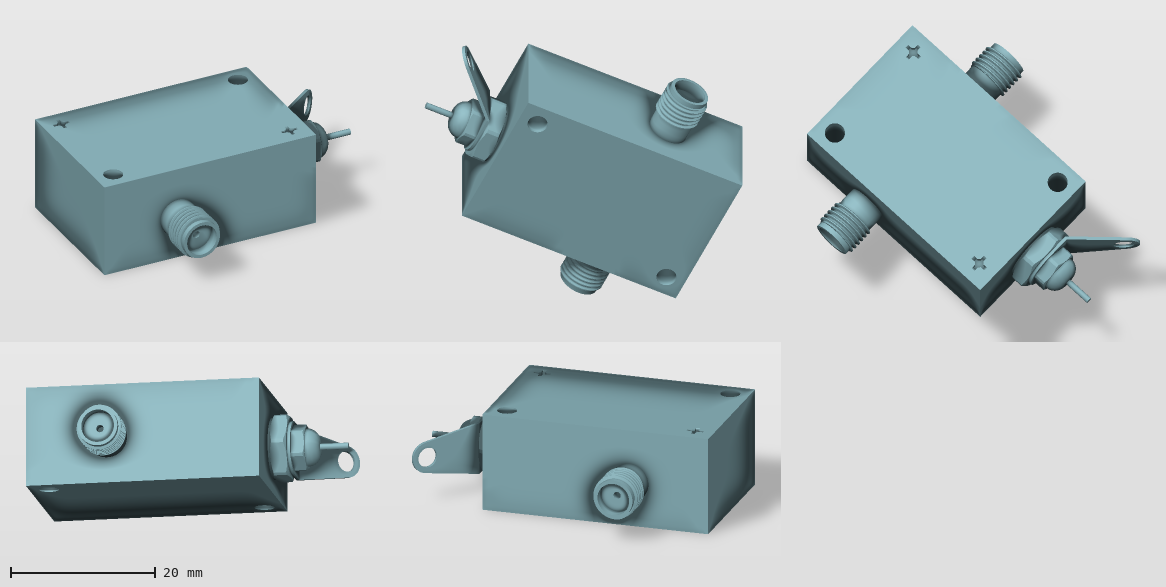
import cadquery as cq
import math

body_x = 21.32
body_y = 32.75
body_z = 13.95
lid_height = 2.45
base_height = body_z - lid_height
back_y = body_y / 2

corner_inset = 2.75
mount_x = body_x / 2 - corner_inset
mount_y = back_y - corner_inset
mount_hole_radius = 1.4
screw_head_radius = 1.95
screw_head_depth = 0.85

recess_depth = 0.65
recess_arm_width = 0.5
recess_reach_top = 1.2
recess_reach_floor = 0.82
recess_core_reach = 0.82

axis_z = 6.33
connector_y = -4.95
connector_length = 7.25
barrel_radius = 2.77
bore_radius = 2.3
bore_depth = 1.75
contact_hole_radius = 0.5
contact_hole_depth = 1.3

thread_radius = 3.15
thread_pitch = 0.7
thread_start = 0.75
thread_end = 4.5
thread_root_width = 0.5
thread_crest_width = 0.15
thread_root_depth = 0.1
helix_turns = 7

terminal_x = -0.05
collar_radius = 4.3
collar_length = 0.25
nut_across_flats = 8.6
nut_corner_radius = 4.8
nut_length = 2.35
lug_thickness = 0.45
lug_radius = 3.73
hub_across_flats = 5.85
hub_corner_radius = 3.25
hub_length = 1.8
dome_radius = 2.65
dome_height = 1.78
pin_radius = 0.45
overall_length = 43.35
pin_length = overall_length - body_y
chamfer_angle = math.radians(30)

tab_angle = 45
tab_hole_distance = 8.05
tab_hole_radius = 1.45
tab_end_radius = 2.25

nut_y = collar_length
lug_y = nut_y + nut_length
hub_y = lug_y + lug_thickness
dome_y = hub_y + hub_length


def mirrored_pair(x, y):
    """Two points placed symmetrically about the middle of the lid."""
    return [(x, y), (-x, -y)]


def make_housing():
    base = cq.Workplane("XY").box(body_x, body_y, base_height, centered=(True, True, False))
    lid = (
        cq.Workplane("XY", origin=(0, 0, base_height))
        .box(body_x, body_y, lid_height, centered=(True, True, False))
    )
    housing = base.union(lid, clean=False)
    mount_holes = (
        cq.Workplane("XY")
        .pushPoints(mirrored_pair(-mount_x, mount_y))
        .circle(mount_hole_radius)
        .extrude(body_z)
    )
    return housing.cut(mount_holes, clean=False)


def make_screw_head():
    """Flush screw head with its top at Z = 0 and a Phillips recess."""
    head = cq.Workplane("XY").circle(screw_head_radius).extrude(-screw_head_depth)
    arm = (
        cq.Workplane("XZ")
        .moveTo(-recess_reach_top, 0)
        .lineTo(recess_reach_top, 0)
        .lineTo(recess_reach_floor, -recess_depth)
        .lineTo(-recess_reach_floor, -recess_depth)
        .close()
        .extrude(recess_arm_width / 2, both=True)
    )
    core = cq.Workplane("XY").polygon(4, 2 * recess_core_reach).extrude(-recess_depth)
    cross_arm = arm.rotate((0, 0, 0), (0, 0, 1), 90)
    return head.cut(arm.union(cross_arm).union(core))


def make_thread():
    """Right-hand thread along +X, clipped square at both ends."""
    crest = thread_crest_width / 2
    root = thread_root_width / 2
    root_radius = barrel_radius - thread_root_depth
    helix = cq.Wire.makeHelix(thread_pitch, helix_turns * thread_pitch, barrel_radius)
    ridge = (
        cq.Workplane("XZ")
        .moveTo(root_radius, -root)
        .lineTo(thread_radius, -crest)
        .lineTo(thread_radius, crest)
        .lineTo(root_radius, root)
        .close()
        .sweep(cq.Workplane(helix), isFrenet=True)
        .rotate((0, 0, 0), (0, 1, 0), 90)
    )
    clip = (
        cq.Workplane("YZ", origin=(thread_start, 0, 0))
        .circle(2 * thread_radius)
        .extrude(thread_end - thread_start)
    )
    return ridge.intersect(clip)


def make_connector():
    """Connector with its open end at X = 0, running along +X."""
    barrel = cq.Workplane("YZ").circle(barrel_radius).extrude(connector_length)
    bore = cq.Workplane("YZ").circle(bore_radius).extrude(bore_depth)
    contact_hole = (
        cq.Workplane("YZ").circle(contact_hole_radius).extrude(bore_depth + contact_hole_depth)
    )
    return barrel.union(make_thread()).cut(bore).cut(contact_hole)


def cylinder_y(radius, start, length):
    """Cylinder on the terminal axis, starting at the given Y."""
    return cq.Workplane("XZ", origin=(0, start, 0)).circle(radius).extrude(-length)


def make_hexagon(across_flats, corner_radius, start, length, turn, chamfered_ends):
    """Hexagon with trimmed corners and conical chamfers; turn 0 points corners along X."""
    sharp_diameter = across_flats / math.cos(math.radians(30))
    chamfer_width = corner_radius - across_flats / 2
    prism = (
        cq.Workplane("XZ", origin=(0, start, 0))
        .polygon(6, sharp_diameter)
        .extrude(-length)
        .rotate((0, 0, 0), (0, 1, 0), turn)
    )
    envelope = (
        cylinder_y(corner_radius, start, length)
        .faces(chamfered_ends)
        .chamfer(chamfer_width * math.tan(chamfer_angle), chamfer_width)
    )
    return prism.intersect(envelope)


def make_nut():
    """Hexagon nut chamfered on both ends."""
    return make_hexagon(nut_across_flats, nut_corner_radius, nut_y, nut_length, 0, "<Y or >Y")


def make_lug():
    """Flat washer with a straight left side and a tapered tab bent outwards."""
    washer = cylinder_y(lug_radius, lug_y, lug_thickness)
    shoulder = (
        cq.Workplane("XY")
        .box(lug_radius, lug_thickness, 2 * lug_radius, centered=(False, False, True))
        .translate((-lug_radius, lug_y, 0))
    )

    corner_distance = math.hypot(tab_hole_distance, lug_radius)
    corner_angle = math.atan2(lug_radius, tab_hole_distance)
    tangent_angle = corner_angle + math.acos(tab_end_radius / corner_distance)
    tangent_x = -tab_hole_distance + tab_end_radius * math.cos(tangent_angle)
    tangent_z = tab_end_radius * math.sin(tangent_angle)
    tab = (
        cq.Workplane("XZ")
        .moveTo(0, -lug_radius)
        .lineTo(tangent_x, -tangent_z)
        .threePointArc((-tab_hole_distance - tab_end_radius, 0), (tangent_x, tangent_z))
        .lineTo(0, lug_radius)
        .close()
        .extrude(-lug_thickness)
    )
    tab_hole = (
        cq.Workplane("XZ")
        .center(-tab_hole_distance, 0)
        .circle(tab_hole_radius)
        .extrude(-lug_thickness)
    )
    bent_tab = (
        tab.cut(tab_hole)
        .rotate((0, 0, 0), (0, 0, 1), -tab_angle)
        .translate((-lug_radius, lug_y, 0))
    )
    return washer.union(shoulder).union(bent_tab)


def make_hub():
    """Hexagonal hub chamfered on its outer end, topped by a dome with a flat crown."""
    hub = make_hexagon(hub_across_flats, hub_corner_radius, hub_y, hub_length, 30, ">Y")
    arc_centre_x = dome_radius - dome_height
    dome_top = dome_y + dome_height
    arc_offset = dome_height * math.sqrt(0.5)
    dome = (
        cq.Workplane("XY")
        .moveTo(0, dome_y)
        .lineTo(dome_radius, dome_y)
        .threePointArc((arc_centre_x + arc_offset, dome_y + arc_offset), (arc_centre_x, dome_top))
        .lineTo(0, dome_top)
        .close()
        .revolve(360, (0, 0, 0), (0, 1, 0))
    )
    return hub.union(dome)


def make_terminal():
    """Feed-through terminal with its seat at Y = 0, running along +Y."""
    collar = cylinder_y(collar_radius, 0, collar_length)
    pin = cylinder_y(pin_radius, 0, pin_length)
    return collar.union(make_nut()).union(make_lug()).union(make_hub()).union(pin)


part = make_housing()

screw_head = make_screw_head()
for x, y in mirrored_pair(mount_x, mount_y):
    seat = (
        cq.Workplane("XY", origin=(x, y, body_z)).circle(screw_head_radius).extrude(-screw_head_depth)
    )
    part = part.cut(seat, clean=False)
    part = part.union(screw_head.translate((x, y, body_z)), clean=False)

left_connector = make_connector().translate((-body_x / 2 - connector_length, connector_y, axis_z))
right_connector = left_connector.rotate((0, 0, axis_z), (0, 1, axis_z), 180)
part = part.union(left_connector, clean=False)
part = part.union(right_connector, clean=False)

terminal = make_terminal().translate((terminal_x, back_y, axis_z))
result = part.union(terminal, clean=False)